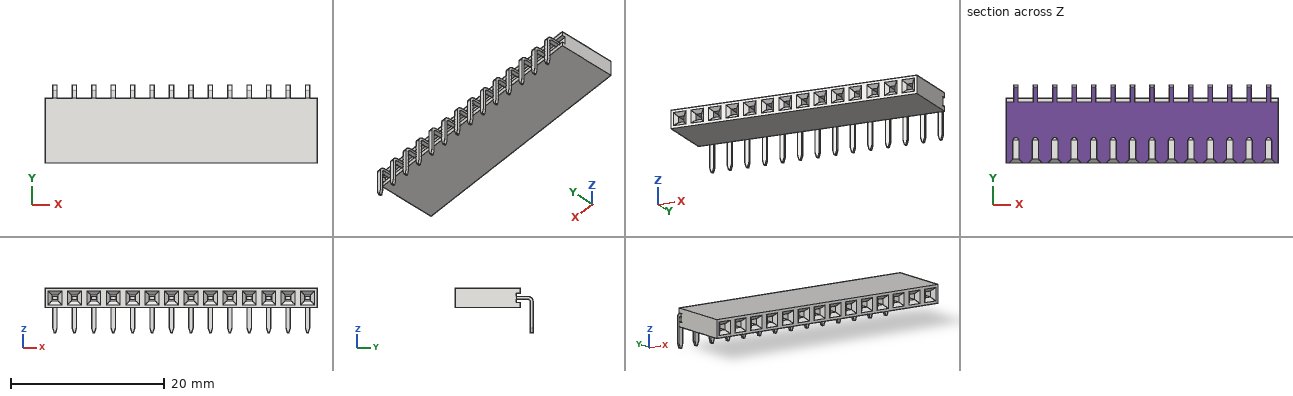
import cadquery as cq
import math

PIN_COUNT = 14
PITCH = 2.54

BODY_LENGTH = PIN_COUNT * PITCH
BODY_DEPTH = 8.5
BODY_HEIGHT = PITCH

GROOVE_DEPTH = 0.5
GROOVE_HEIGHT = 1.2
GROOVE_FLOOR_Y = BODY_DEPTH - GROOVE_DEPTH

FUNNEL_MOUTH = 1.8
SOCKET_SIZE = 0.8
FUNNEL_DEPTH = (FUNNEL_MOUTH - SOCKET_SIZE) / 2
FUNNEL_TAPER = 45
SOCKET_DEPTH = 3.0
RECESS_WIDTH = 0.66

PIN_WIDTH = 0.6
PIN_THICKNESS = 0.4
PIN_REACH = 1.7
PIN_DROP = 3.3
PIN_REAR_Y = BODY_DEPTH + PIN_REACH
PIN_BOTTOM_Z = -BODY_HEIGHT / 2 - PIN_DROP
BEND_OUTER_RADIUS = 0.7
BEND_INNER_RADIUS = BEND_OUTER_RADIUS - PIN_THICKNESS
PIN_EMBED = 0.5

TIP_LENGTH = 0.64
TIP_WIDTH = 0.2


def make_body():
    """Rectangular block with a groove running the whole length of its rear face."""
    block = cq.Workplane("XY").box(BODY_LENGTH, BODY_DEPTH, BODY_HEIGHT).translate((0, BODY_DEPTH / 2, 0))
    groove = (
        cq.Workplane("XY")
        .box(BODY_LENGTH, GROOVE_DEPTH, GROOVE_HEIGHT)
        .translate((0, BODY_DEPTH - GROOVE_DEPTH / 2, 0))
    )
    return block.cut(groove)


def make_socket():
    """Cavity of one socket: funnel, square hole and rounded recess in the hole's floor."""
    funnel = cq.Workplane("XZ").rect(FUNNEL_MOUTH, FUNNEL_MOUTH).extrude(-FUNNEL_DEPTH, taper=FUNNEL_TAPER)
    hole = cq.Workplane("XZ").rect(SOCKET_SIZE, SOCKET_SIZE).extrude(-SOCKET_DEPTH)
    recess = (
        cq.Workplane("XY")
        .center(0, SOCKET_DEPTH)
        .circle(RECESS_WIDTH / 2)
        .extrude(PIN_THICKNESS / 2, both=True)
    )
    return funnel.union(hole).union(recess)


def make_pin():
    """Strip running rearwards out of the groove, bent down and tapered at its tip."""
    pin_top = PIN_THICKNESS / 2
    pin_front_y = GROOVE_FLOOR_Y - PIN_EMBED
    bend_y = PIN_REAR_Y - BEND_OUTER_RADIUS
    bend_z = pin_top - BEND_OUTER_RADIUS
    diagonal = math.sqrt(0.5)
    outer_mid = BEND_OUTER_RADIUS * diagonal
    inner_mid = BEND_INNER_RADIUS * diagonal
    side_profile = (
        cq.Workplane("YZ")
        .moveTo(pin_front_y, pin_top)
        .lineTo(bend_y, pin_top)
        .threePointArc((bend_y + outer_mid, bend_z + outer_mid), (PIN_REAR_Y, bend_z))
        .lineTo(PIN_REAR_Y, PIN_BOTTOM_Z)
        .lineTo(PIN_REAR_Y - PIN_THICKNESS, PIN_BOTTOM_Z)
        .lineTo(PIN_REAR_Y - PIN_THICKNESS, bend_z)
        .threePointArc((bend_y + inner_mid, bend_z + inner_mid), (bend_y, -pin_top))
        .lineTo(pin_front_y, -pin_top)
        .close()
        .extrude(PIN_WIDTH / 2, both=True)
    )
    half_width = PIN_WIDTH / 2
    half_tip = TIP_WIDTH / 2
    taper_top_z = PIN_BOTTOM_Z + TIP_LENGTH
    front_outline = (
        cq.Workplane("XZ")
        .polyline([
            (-half_width, pin_top),
            (half_width, pin_top),
            (half_width, taper_top_z),
            (half_tip, PIN_BOTTOM_Z),
            (-half_tip, PIN_BOTTOM_Z),
            (-half_width, taper_top_z),
        ])
        .close()
        .extrude(-PIN_REAR_Y)
    )
    return side_profile.intersect(front_outline)


socket = make_socket()
pin = make_pin()
result = make_body()
for index in range(PIN_COUNT):
    pin_x = (index - (PIN_COUNT - 1) / 2) * PITCH
    result = result.cut(socket.translate((pin_x, 0, 0)))
    result = result.union(pin.translate((pin_x, 0, 0)))